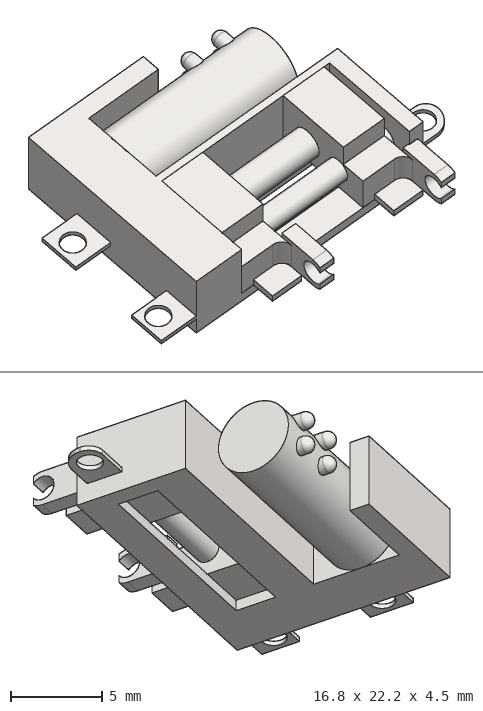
import cadquery as cq

OVERALL_LENGTH = 22.25

HEIGHT = 4.5
HOUSING_WIDTH = 13.7
BASE_DEPTH = 3.35
SIDE_WALL_THICKNESS = 1.22
SIDE_WALL_END = 8.5
RAIL_LEFT = 6.72
RAIL_THICKNESS = 0.47
HOUSING_DEPTH = 16.78
END_WALL_THICKNESS = 1.02
FLOOR_THICKNESS = 0.7
SLOT_END_LIP = 0.07
RAIL_RIGHT = RAIL_LEFT + RAIL_THICKNESS
END_WALL_FACE = HOUSING_DEPTH - END_WALL_THICKNESS
MID_HEIGHT = HEIGHT / 2

TAB_BOTTOM = 1.2
TAB_THICKNESS = 0.3
TAB_HOLE_DIAMETER = 1.5
FRONT_TAB_LENGTH = 2.58
FRONT_TAB_HOLE_OFFSET = 1.54
LEFT_TAB_WIDTH = 2.75
LEFT_TAB_HOLE_X = 5.32
RIGHT_TAB_WIDTH = 2.43
RIGHT_TAB_HOLE_X = 12.3
REAR_TAB_LEFT = 10.81
REAR_TAB_WIDTH = 2.22
REAR_TAB_LENGTH = OVERALL_LENGTH - FRONT_TAB_LENGTH - HOUSING_DEPTH
REAR_TAB_HOLE_X = 11.81
REAR_TAB_HOLE_OFFSET = 1.7
REAR_TAB_LEFT_RADIUS = 0.9
REAR_TAB_RIGHT_RADIUS = 1.3

SCREW_DIAMETER = 1.94
SCREW_X = 9.17
SCREW_Z = MID_HEIGHT
GUIDE_DIAMETER = 1.5
GUIDE_X = 11.7
GUIDE_Z = MID_HEIGHT

MOTOR_DIAMETER = HEIGHT
MOTOR_X = 3.67
MOTOR_END = 14.62
PIN_DIAMETER = 1.0
PIN_TIP_X = 0.73
PIN_Y_POSITIONS = (10.84, 13.1)
PIN_Z_POSITIONS = (1.71, 3.32)

SLIDER_DEPTH = 3.03
SLIDER_FRONTS = (BASE_DEPTH, 12.33)
SLIDER_STEP_X = 12.1
SLIDER_STEP_Z = 3.0
ARM_LEFT = 13.65
ARM_RIGHT = 16.75
ARM_THICKNESS = 1.02
ARM_HEIGHT = 2.2
ARM_EYE_X = 16.18
ARM_EYE_DIAMETER = 1.5
ARM_BOTTOM = MID_HEIGHT - ARM_HEIGHT / 2
FOOT_RIGHT = 15.26
FOOT_DEPTH = 2.15
FILLET_RADIUS = 0.71


def box(x0, x1, y0, y1, z0, z1):
    """Axis-aligned block between the given limits."""
    return cq.Workplane("XY").box(x1 - x0, y1 - y0, z1 - z0, centered=False).translate((x0, y0, z0))


def cylinder_along_y(diameter, x, z, y0, y1):
    """Round bar parallel to Y."""
    bar = cq.Workplane("XZ").circle(diameter / 2).extrude(-(y1 - y0))
    return bar.translate((x, y0, z))


def make_tab(x0, width, y0, y1, hole_x, hole_y):
    """Flat mounting tab with one screw hole."""
    tab = box(x0, x0 + width, y0, y1, TAB_BOTTOM, TAB_BOTTOM + TAB_THICKNESS)
    hole = cq.Workplane("XY").center(hole_x, hole_y).circle(TAB_HOLE_DIAMETER / 2).extrude(HEIGHT)
    return tab.cut(hole)


def make_rods():
    """The thick screw and the thin guide rod, spanning the bay."""
    screw = cylinder_along_y(SCREW_DIAMETER, SCREW_X, SCREW_Z, BASE_DEPTH, END_WALL_FACE)
    guide = cylinder_along_y(GUIDE_DIAMETER, GUIDE_X, GUIDE_Z, BASE_DEPTH, END_WALL_FACE)
    return screw, guide


def make_arm(y0):
    """Upright plate whose round end carries an eye that is open to the right."""
    arm_back = y0 + ARM_THICKNESS
    plate = box(ARM_LEFT, ARM_EYE_X, y0, arm_back, ARM_BOTTOM, ARM_BOTTOM + ARM_HEIGHT)
    round_end = cylinder_along_y(ARM_HEIGHT, ARM_EYE_X, MID_HEIGHT, y0, arm_back)
    eye = cylinder_along_y(ARM_EYE_DIAMETER, ARM_EYE_X, MID_HEIGHT, y0, arm_back)
    limit = box(ARM_LEFT, ARM_RIGHT, y0, arm_back, 0, HEIGHT)
    return plate.union(round_end).cut(eye).intersect(limit)


def make_slider(y0):
    """Stepped block on the rods, with an eye arm, a foot and a filleted inner corner."""
    y1 = y0 + SLIDER_DEPTH
    slider = box(RAIL_RIGHT, SLIDER_STEP_X, y0, y1, FLOOR_THICKNESS, HEIGHT)
    slider = slider.union(box(SLIDER_STEP_X, HOUSING_WIDTH, y0, y1, FLOOR_THICKNESS, SLIDER_STEP_Z))
    slider = slider.union(box(HOUSING_WIDTH, FOOT_RIGHT, y1 - FOOT_DEPTH, y1, FLOOR_THICKNESS, ARM_BOTTOM))
    web = (
        cq.Workplane("XY", origin=(HOUSING_WIDTH, y1, ARM_BOTTOM))
        .lineTo(FILLET_RADIUS, 0)
        .radiusArc((0, -FILLET_RADIUS), -FILLET_RADIUS)
        .close()
        .extrude(SLIDER_STEP_Z - ARM_BOTTOM)
    )
    slider = slider.union(web).union(make_arm(y1))
    for rod in make_rods():
        slider = slider.cut(rod)
    return slider


def make_housing():
    """Frame with its tabs, its rods and a slotted floor under the sliders."""
    housing = box(0, HOUSING_WIDTH, 0, BASE_DEPTH, 0, HEIGHT)
    housing = housing.union(box(0, SIDE_WALL_THICKNESS, 0, SIDE_WALL_END, 0, HEIGHT))
    housing = housing.union(box(RAIL_LEFT, RAIL_RIGHT, 0, HOUSING_DEPTH, 0, HEIGHT))
    housing = housing.union(box(RAIL_LEFT, HOUSING_WIDTH, END_WALL_FACE, HOUSING_DEPTH, 0, HEIGHT))

    housing = housing.union(box(RAIL_RIGHT, HOUSING_WIDTH, BASE_DEPTH, END_WALL_FACE, 0, FLOOR_THICKNESS))
    housing = housing.cut(box(SCREW_X, GUIDE_X, BASE_DEPTH, END_WALL_FACE - SLOT_END_LIP, 0, FLOOR_THICKNESS))

    for rod in make_rods():
        housing = housing.union(rod)

    front_hole_y = -FRONT_TAB_HOLE_OFFSET
    left_tab_x = RAIL_LEFT - LEFT_TAB_WIDTH
    right_tab_x = HOUSING_WIDTH - RIGHT_TAB_WIDTH
    rear_tab_end = HOUSING_DEPTH + REAR_TAB_LENGTH
    rear_hole_y = HOUSING_DEPTH + REAR_TAB_HOLE_OFFSET
    left_tab = make_tab(left_tab_x, LEFT_TAB_WIDTH, -FRONT_TAB_LENGTH, 0, LEFT_TAB_HOLE_X, front_hole_y)
    right_tab = make_tab(right_tab_x, RIGHT_TAB_WIDTH, -FRONT_TAB_LENGTH, 0, RIGHT_TAB_HOLE_X, front_hole_y)
    rear_tab = make_tab(
        REAR_TAB_LEFT, REAR_TAB_WIDTH, HOUSING_DEPTH, rear_tab_end, REAR_TAB_HOLE_X, rear_hole_y
    )
    rear_tab = rear_tab.edges("|Z and >Y and <X").fillet(REAR_TAB_LEFT_RADIUS)
    rear_tab = rear_tab.edges("|Z and >Y and >X").fillet(REAR_TAB_RIGHT_RADIUS)
    housing = housing.union(left_tab).union(right_tab).union(rear_tab)

    return housing.cut(make_arm(SLIDER_FRONTS[1] + SLIDER_DEPTH))


def make_motor():
    """Cylinder with four round-ended contact pins on its left side."""
    motor = cylinder_along_y(MOTOR_DIAMETER, MOTOR_X, MID_HEIGHT, BASE_DEPTH, MOTOR_END)
    pin_radius = PIN_DIAMETER / 2
    dome_x = PIN_TIP_X + pin_radius
    for y in PIN_Y_POSITIONS:
        for z in PIN_Z_POSITIONS:
            shank = cq.Workplane("YZ", origin=(dome_x, y, z)).circle(pin_radius).extrude(MOTOR_X - dome_x)
            dome = cq.Workplane("XY").sphere(pin_radius).translate((dome_x, y, z))
            motor = motor.union(shank).union(dome)
    return motor


housing = make_housing()
motor = make_motor()
sliders = [make_slider(front) for front in SLIDER_FRONTS]

result = cq.Compound.makeCompound([housing.val(), motor.val(), *[slider.val() for slider in sliders]])